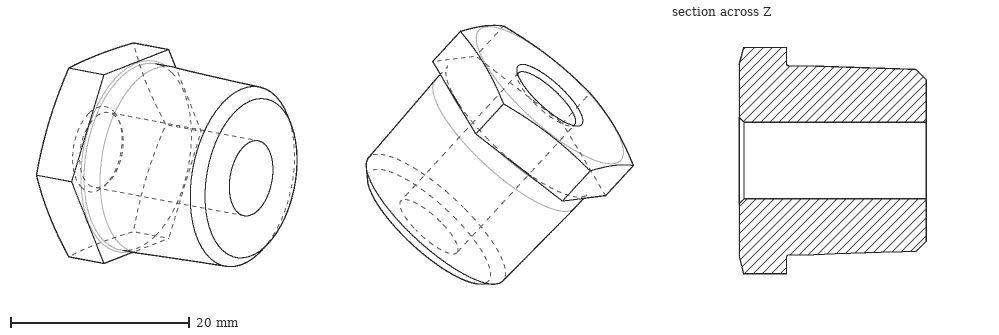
import cadquery as cq
import math


across_corners = 25.4
head_length = 5.33
face_diameter = 21.6
head_chamfer_angle = 15.0

total_length = 21.0
shank_diameter = 21.25
root_fillet = 0.25
taper_start = 7.77
taper_end_diameter = 20.47
end_chamfer = 1.2

bore_diameter = 8.55
bore_mouth_diameter = 9.7
bore_mouth_angle = 45.0


def revolve_about_x(profile):
    """Solid of revolution from a closed list of (x, radius) points."""
    return cq.Workplane("XY").polyline(profile).close().revolve(360, (0, 0, 0), (1, 0, 0))


def hexagon_head():
    """Hexagon with flats facing +Z and -Z, its outer corners turned to a cone."""
    hexagon = cq.Workplane("YZ").polygon(6, across_corners).extrude(head_length)
    face_radius = face_diameter / 2
    corner_radius = across_corners / 2
    chamfer_depth = (corner_radius - face_radius) * math.tan(math.radians(head_chamfer_angle))
    envelope = revolve_about_x([
        (0, 0),
        (0, face_radius),
        (chamfer_depth, corner_radius),
        (chamfer_depth, across_corners),
        (head_length, across_corners),
        (head_length, 0),
    ])
    return hexagon.intersect(envelope)


def shank():
    """Cylindrical collar, tapered length and chamfered end."""
    taper_end = total_length - end_chamfer
    shank_radius = shank_diameter / 2
    taper_end_radius = taper_end_diameter / 2
    return revolve_about_x([
        (head_length, 0),
        (head_length, shank_radius),
        (taper_start, shank_radius),
        (taper_end, taper_end_radius),
        (total_length, taper_end_radius - end_chamfer),
        (total_length, 0),
    ])


def root_fillet_ring():
    """Concave fillet ring where the collar meets the back of the head."""
    shank_radius = shank_diameter / 2
    outer_radius = shank_radius + root_fillet
    arc_offset = root_fillet * (1 - math.sqrt(0.5))
    return (
        cq.Workplane("XY")
        .moveTo(head_length, outer_radius)
        .threePointArc(
            (head_length + arc_offset, shank_radius + arc_offset),
            (head_length + root_fillet, shank_radius),
        )
        .lineTo(head_length + root_fillet, 0)
        .lineTo(head_length, 0)
        .close()
        .revolve(360, (0, 0, 0), (1, 0, 0))
    )


def bore():
    """Through bore with a countersunk mouth in the hex face."""
    bore_radius = bore_diameter / 2
    mouth_radius = bore_mouth_diameter / 2
    mouth_depth = (mouth_radius - bore_radius) / math.tan(math.radians(bore_mouth_angle))
    return revolve_about_x([
        (0, 0),
        (0, mouth_radius),
        (mouth_depth, bore_radius),
        (total_length, bore_radius),
        (total_length, 0),
    ])


result = hexagon_head().union(shank()).union(root_fillet_ring()).cut(bore())